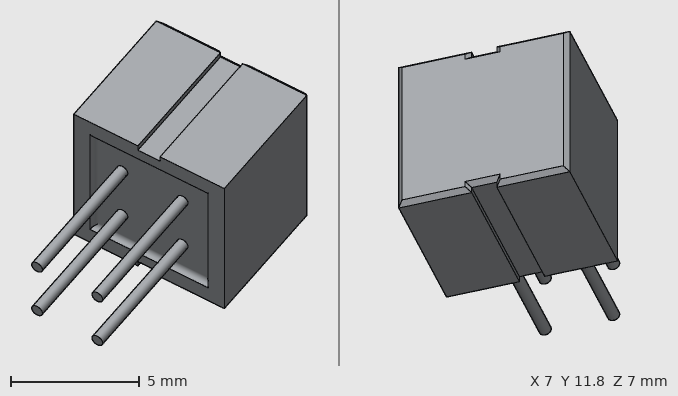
import cadquery as cq

body_side = 7.0
body_length = 6.0
back_chamfer = 0.2
groove_width = 1.03
groove_depth = 0.25
recess_side = 5.5
recess_depth = 0.25
pin_diameter = 0.5
pin_pitch_x = 2.8
pin_pitch_z = 2.54
pin_protrusion = 5.75


def xz_plane(y):
    """Workplane at the given Y whose extrusions run toward -Y."""
    return cq.Workplane("XZ", origin=(0, y, 0))


def make_body():
    """Square block with two grooves, chamfered around its +Y face."""
    block = xz_plane(body_length).rect(body_side, body_side).extrude(body_length)
    for face_z in (body_side / 2, -body_side / 2):
        groove = (
            xz_plane(body_length)
            .center(0, face_z)
            .rect(groove_width, 2 * groove_depth)
            .extrude(body_length)
        )
        block = block.cut(groove)
    return block.faces(">Y").chamfer(back_chamfer)


def make_recess():
    """Square recess volume whose rounded floor edge reaches out to the pin face."""
    recess = xz_plane(recess_depth).rect(recess_side, recess_side).extrude(2 * recess_depth)
    return recess.faces(">Y").edges().fillet(recess_depth)


def make_pins():
    """Four round pins standing on the recess floor."""
    return (
        xz_plane(recess_depth)
        .rarray(pin_pitch_x, pin_pitch_z, 2, 2)
        .circle(pin_diameter / 2)
        .extrude(recess_depth + pin_protrusion)
    )


result = make_body().cut(make_recess()).union(make_pins())